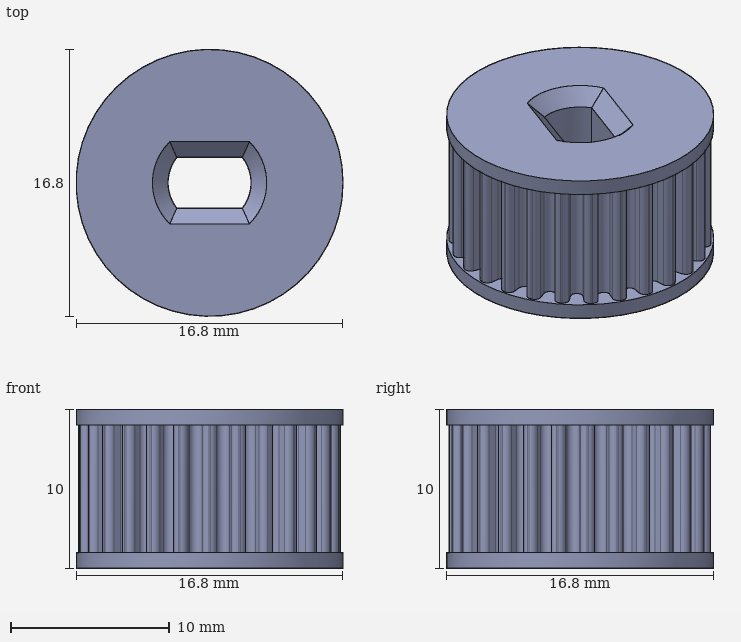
import cadquery as cq
import math

flange_radius = 8.41
pulley_height = 10.0
flange_height = 1.0
belt_height = pulley_height - 2 * flange_height

tooth_count = 27
tip_radius = 8.26
root_radius = 6.98
tip_land_half_width = 0.05
tip_fillet_radius = 0.4
root_fillet_radius = 0.4
first_groove_angle = math.radians(90)

bore_radius = 2.6
bore_flat_distance = 1.6
bevel_width = 1.0
bevel_depth = 1.0

tooth_pitch = 2 * math.pi / tooth_count


def polar(radius, angle):
    return (radius * math.cos(angle), radius * math.sin(angle))


def offset(point, distance, angle):
    dx, dy = polar(distance, angle)
    return (point[0] + dx, point[1] + dy)


def rotate(point, angle):
    x, y = point
    return (
        x * math.cos(angle) - y * math.sin(angle),
        x * math.sin(angle) + y * math.cos(angle),
    )


def mirror(point):
    return (point[0], -point[1])


def groove_half():
    """Points of half a groove centred on +X: root, wall ends, fillet middle and land end."""
    land_angle = tooth_pitch / 2 - tip_land_half_width / tip_radius
    root_center = (root_radius + root_fillet_radius, 0)
    tip_center = polar(tip_radius - tip_fillet_radius, land_angle)

    dx = tip_center[0] - root_center[0]
    dy = tip_center[1] - root_center[1]
    fillet_sum = root_fillet_radius + tip_fillet_radius
    root_normal = math.atan2(dy, dx) + math.acos(fillet_sum / math.hypot(dx, dy))
    tip_normal = root_normal - math.pi

    return {
        "root": (root_radius, 0),
        "wall_inner": offset(root_center, root_fillet_radius, root_normal),
        "wall_outer": offset(tip_center, tip_fillet_radius, tip_normal),
        "tip_middle": offset(tip_center, tip_fillet_radius, (tip_normal + land_angle) / 2),
        "land": polar(tip_radius, land_angle),
    }


def rotated_points(points, angle):
    return {name: rotate(point, angle) for name, point in points.items()}


def belt_section():
    """Toothed cylinder: each turn of the loop draws one groove and the tooth land after it."""
    upper_half = groove_half()
    lower_half = {name: mirror(point) for name, point in upper_half.items()}

    outline = cq.Workplane("XY").workplane(offset=flange_height)
    outline = outline.moveTo(*rotate(lower_half["land"], first_groove_angle))
    for index in range(tooth_count):
        angle = first_groove_angle + index * tooth_pitch
        lower = rotated_points(lower_half, angle)
        upper = rotated_points(upper_half, angle)
        land_middle = polar(tip_radius, angle + tooth_pitch / 2)
        next_land = rotate(lower["land"], tooth_pitch)
        outline = (
            outline.threePointArc(lower["tip_middle"], lower["wall_outer"])
            .lineTo(*lower["wall_inner"])
            .threePointArc(upper["root"], upper["wall_inner"])
            .lineTo(*upper["wall_outer"])
            .threePointArc(upper["tip_middle"], upper["land"])
            .threePointArc(land_middle, next_land)
        )
    return outline.close().extrude(belt_height)


def flange(base_height):
    return cq.Workplane("XY").workplane(offset=base_height).circle(flange_radius).extrude(flange_height)


def bore():
    """Straight double-flat bore plus the bevel that widens evenly up to the top face."""
    bevel_start = pulley_height - bevel_depth
    top_radius = bore_radius + bevel_width
    top_flat_distance = bore_flat_distance + bevel_width

    round_hole = cq.Workplane("XY").circle(bore_radius).extrude(pulley_height)
    flats = cq.Workplane("XY").rect(2 * bore_radius, 2 * bore_flat_distance).extrude(pulley_height)

    cone = cq.Workplane(
        cq.Solid.makeCone(bore_radius, top_radius, bevel_depth, pnt=cq.Vector(0, 0, bevel_start))
    )
    sloped_flats = (
        cq.Workplane("YZ")
        .moveTo(-bore_flat_distance, bevel_start)
        .lineTo(bore_flat_distance, bevel_start)
        .lineTo(top_flat_distance, pulley_height)
        .lineTo(-top_flat_distance, pulley_height)
        .close()
        .extrude(top_radius, both=True)
    )
    return round_hole.intersect(flats).union(cone.intersect(sloped_flats))


result = (
    belt_section()
    .union(flange(0))
    .union(flange(pulley_height - flange_height))
    .cut(bore())
)